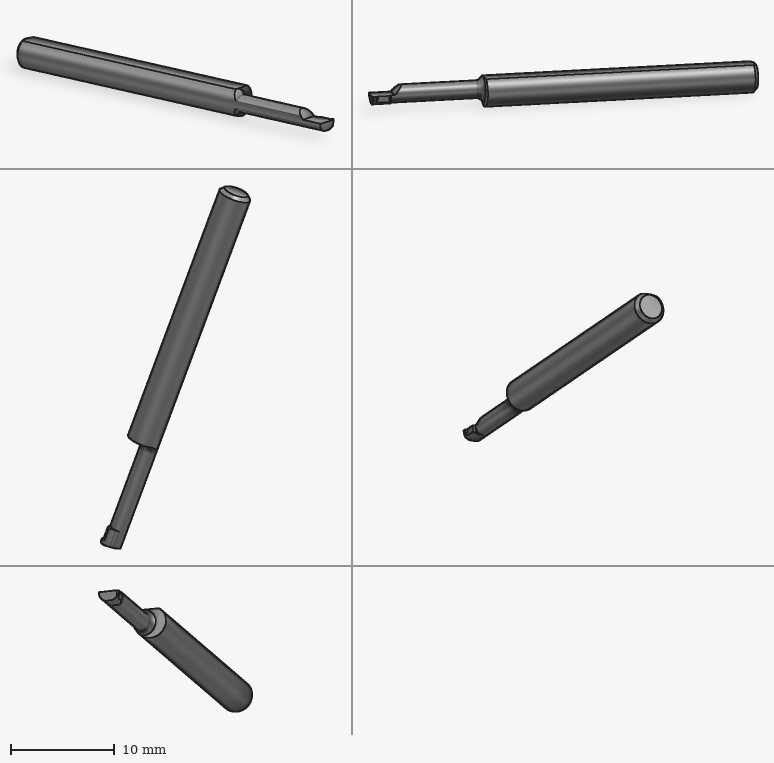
import cadquery as cq
import math

total_length = 38.1
shank_diameter = 3.15
shank_radius = shank_diameter / 2
shank_length = 26.9
shank_height = 2.9
shank_chamfer = 0.4
flat_z = shank_height - shank_radius

neck_radius = 0.88
neck_side_y = 0.135
neck_y = neck_side_y - neck_radius
flare_length = 0.65
flare_height = 0.42

rake_z = 0.05
ramp_start_x = 34.98
rake_start_x = 35.8
head_shoulder_x = 36.15
head_side_x = 36.35
head_side_y = 0.3
point_rise_x = 37.5
point_x = 37.68
point_y = 0.45
nose_start_x = 38.0
heel_x = 38.0
relief_angle = 7.0


def make_shank():
    bar = cq.Workplane("YZ").circle(shank_radius).extrude(shank_length)
    bar = bar.faces("<X").chamfer(shank_chamfer)
    above_flat = cq.Workplane("XY").workplane(offset=flat_z).rect(
        2 * total_length, shank_diameter).extrude(shank_diameter)
    return bar.cut(above_flat)


def make_neck():
    """Revolve the neck with an arc flare, tangent to the neck, at the shank face."""
    flare_radius = (flare_length**2 + flare_height**2) / (2 * flare_height)
    flare_end_x = shank_length + flare_length
    half_angle = math.asin(flare_length / flare_radius) / 2
    arc_middle = (
        flare_end_x - flare_radius * math.sin(half_angle),
        neck_side_y + flare_radius * (1 - math.cos(half_angle)),
    )
    return (
        cq.Workplane("XY")
        .moveTo(shank_length, neck_y)
        .lineTo(shank_length, neck_side_y + flare_height)
        .threePointArc(arc_middle, (flare_end_x, neck_side_y))
        .lineTo(total_length, neck_side_y)
        .lineTo(total_length, neck_y)
        .close()
        .revolve(360, (0, neck_y, 0), (total_length, neck_y, 0))
    )


def make_side_bulge():
    """Widen the neck sideways behind the cutting point, keeping its rounded underside."""
    overhang = point_y - neck_side_y
    return (
        cq.Workplane("YZ", origin=(head_shoulder_x, neck_y + overhang / 2, 0))
        .slot2D(2 * neck_radius + overhang, 2 * neck_radius)
        .extrude(total_length - head_shoulder_x)
    )


def make_relief_cut():
    """Material outside the head outline, which narrows downward from the rake face."""
    inner_y = -shank_diameter
    outline = [
        (shank_length, inner_y),
        (heel_x, inner_y),
        (heel_x, -shank_radius),
        (total_length, head_side_y),
        (nose_start_x, point_y),
        (point_x, point_y),
        (point_rise_x, head_side_y),
        (head_side_x, head_side_y),
        (head_shoulder_x, neck_side_y),
        (shank_length, neck_side_y),
    ]
    relieved_head = (
        cq.Workplane("XY", origin=(0, 0, rake_z))
        .polyline(outline)
        .close()
        .extrude(-shank_radius, taper=relief_angle)
    )
    surround = (
        cq.Workplane("YZ", origin=(head_shoulder_x, 0, rake_z - shank_radius / 2))
        .rect(2 * shank_diameter, shank_radius)
        .extrude(shank_diameter)
    )
    return surround.cut(relieved_head)


def make_ramp_cut():
    """Space above the rake face and the ramp leading down to it."""
    ramp_run = rake_start_x - ramp_start_x
    ramp_drop = neck_radius - rake_z
    top_z = 2 * neck_radius
    top_x = rake_start_x - ramp_run * (top_z - rake_z) / ramp_drop
    return (
        cq.Workplane("XZ")
        .polyline([
            (top_x, top_z),
            (rake_start_x, rake_z),
            (2 * total_length, rake_z),
            (2 * total_length, top_z),
        ])
        .close()
        .extrude(shank_diameter, both=True)
    )


shank_envelope = cq.Workplane("YZ").circle(shank_radius).extrude(total_length)
tool_end = make_neck().union(make_side_bulge())
tool_end = tool_end.cut(make_ramp_cut()).cut(make_relief_cut()).intersect(shank_envelope)
result = make_shank().union(tool_end).clean()